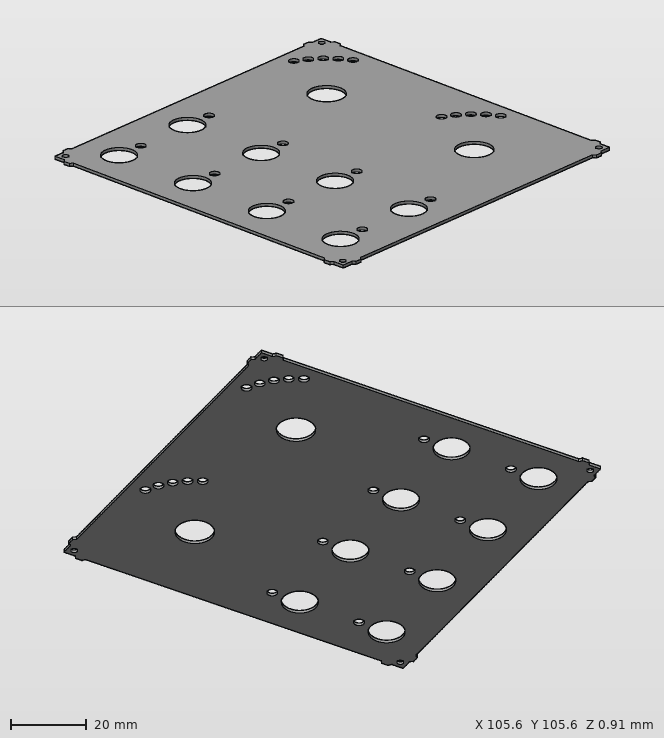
import cadquery as cq
import math

overall = 105.6
thickness = 0.91
plate_side = 103.9

tab_offset = 46.9
tab_base = 3.4
tab_tip = 2.1
tab_side_radius = 1.3

mount_diameter = 1.8
mount_offset = 50.0

grid_pitch = 26.6
jack_diameter = 9.8
jack_columns = [-1.5, -0.5, 0.5, 1.5]
jack_rows = [-0.5, -1.5]
knob_diameter = 10.5
knob_columns = [-1, 1]
knob_row = 1

light_diameter = 2.9
light_rise = 8.5
arc_radius = 22.9
arc_angles = [115, 125, 135, 145, 155]


def edge_tab(offset):
    """Tab on the +Y edge, centred at X = offset, narrowing to its tip along two hollow arcs."""
    root = plate_side / 2
    tip = overall / 2
    half_base = tab_base / 2
    half_tip = tab_tip / 2
    return (
        cq.Workplane("XY")
        .moveTo(offset - half_base, 0)
        .lineTo(offset - half_base, root)
        .radiusArc((offset - half_tip, tip), -tab_side_radius)
        .lineTo(offset + half_tip, tip)
        .radiusArc((offset + half_base, root), -tab_side_radius)
        .lineTo(offset + half_base, 0)
        .close()
        .extrude(thickness)
    )


def drill(plate, points, diameter):
    """Cut a through hole at every point."""
    return plate.faces(">Z").workplane(origin=(0, 0, 0)).pushPoints(points).hole(diameter)


def arc_points(centre):
    """Indicator hole centres on the arc around one knob hole."""
    points = []
    for angle in arc_angles:
        x = centre[0] + arc_radius * math.cos(math.radians(angle))
        y = centre[1] + arc_radius * math.sin(math.radians(angle))
        points.append((x, y))
    return points


mount_points = [(x, y) for x in (-mount_offset, mount_offset) for y in (-mount_offset, mount_offset)]
jack_points = [(grid_pitch * column, grid_pitch * row) for column in jack_columns for row in jack_rows]
knob_points = [(grid_pitch * column, grid_pitch * knob_row) for column in knob_columns]

light_points = [(x, y + light_rise) for x, y in jack_points]
for knob in knob_points:
    light_points += arc_points(knob)

plate = cq.Workplane("XY").rect(plate_side, plate_side).extrude(thickness)
for turn in (0, 90, 180, 270):
    for offset in (-tab_offset, tab_offset):
        tab = edge_tab(offset).rotate((0, 0, 0), (0, 0, 1), turn)
        plate = plate.union(tab)

plate = drill(plate, mount_points, mount_diameter)
plate = drill(plate, jack_points, jack_diameter)
plate = drill(plate, knob_points, knob_diameter)
plate = drill(plate, light_points, light_diameter)

result = plate